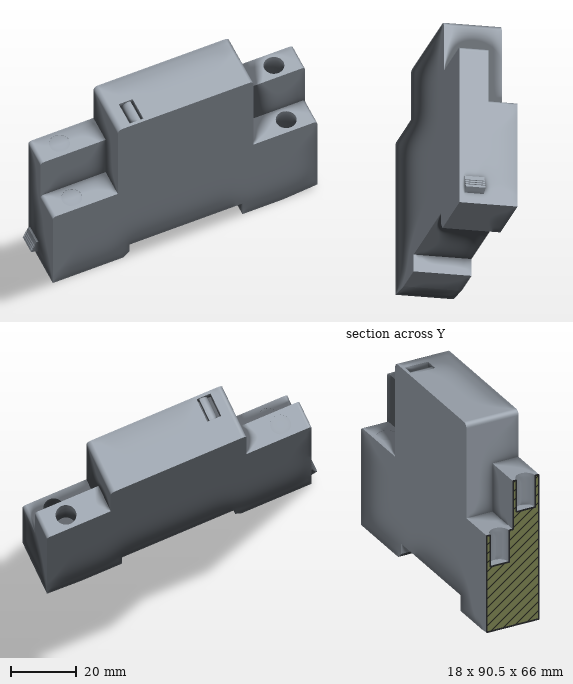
import cadquery as cq

WIDTH = 18.0
LENGTH = 90.5
HEIGHT = 66.0
LATCH_REACH = 2.5
FRONT_Y = LATCH_REACH
REAR_Y = LENGTH
SPLIT_X = WIDTH / 2

TOWER_FRONT = FRONT_Y + 21.6
TOWER_REAR = FRONT_Y + 66.8
HIGH_STEP = 50.1
LOW_STEP = 33.6
TOWER_FILLET = 1.5
STEP_FILLET = 1.1

RAIL_FRONT = FRONT_Y + 25.4
RAIL_REAR = FRONT_Y + 63.1
RAIL_DEPTH = 5.4
RAIL_CHAMFER = 1.9
TAPER_LENGTH = 11.2
TAPER_RISE = 1.3

SCREW_DIAMETER = 6.3
SCREW_OFFSET = 4.5
FRONT_SCREW_Y = FRONT_Y + 8.3
REAR_SCREW_Y = REAR_Y - 8.3
FRONT_SCREW_DEPTH = 0.1
REAR_SCREW_DEPTH = 10.9

WINDOW_START = 9.05
WINDOW_WIDTH = 8.0
WINDOW_FRONT = FRONT_Y + 26.0
WINDOW_LENGTH = 4.6
WINDOW_DEPTH = 2.9
SWITCH_FRONT_GAP = 1.0
SWITCH_LENGTH = 2.8
SWITCH_HEIGHT = 2.35
SWITCH_FILLET = 2.2

LATCH_START = 1.45
LATCH_WIDTH = 6.1
LATCH_TIP_Z = 4.3
LATCH_TILT = 24.0
LATCH_FACE = 4.4
LATCH_BODY = 4.5
GROOVE_COUNT = 3
GROOVE_PITCH = 0.86
GROOVE_WIDTH = 0.4
GROOVE_DEPTH = 0.3
FIRST_GROOVE = 1.0


def box(x, y, z, dx, dy, dz):
    """Box placed by its lowest corner."""
    return cq.Workplane("XY").box(dx, dy, dz, centered=False).translate((x, y, z))


def housing_half(start_x, step_z):
    """One module-wide slice of the housing with its terminal steps at step_z."""
    outline = [
        (FRONT_Y, 0),
        (RAIL_FRONT - RAIL_CHAMFER, 0),
        (RAIL_FRONT, RAIL_CHAMFER),
        (RAIL_FRONT, RAIL_DEPTH),
        (RAIL_REAR, RAIL_DEPTH),
        (RAIL_REAR, 0),
        (REAR_Y - TAPER_LENGTH, 0),
        (REAR_Y, TAPER_RISE),
        (REAR_Y, step_z),
        (TOWER_REAR, step_z),
        (TOWER_REAR, HEIGHT),
        (TOWER_FRONT, HEIGHT),
        (TOWER_FRONT, step_z),
        (FRONT_Y, step_z),
    ]
    half = cq.Workplane("YZ").polyline(outline).close().extrude(SPLIT_X)
    half = half.edges("|X and >Z").fillet(TOWER_FILLET)
    for end_y in (FRONT_Y, REAR_Y):
        corner = cq.selectors.NearestToPointSelector((SPLIT_X / 2, end_y, step_z))
        half = half.edges(corner).fillet(STEP_FILLET)
    return half.translate((start_x, 0, 0))


def screw_recess(x, y, step_z, depth):
    """Cylinder that cuts a screw opening down from a terminal step."""
    return cq.Workplane("XY", origin=(x, y, step_z - depth)).circle(SCREW_DIAMETER / 2).extrude(depth)


def switch():
    """Slider in the window, with its top front edge rounded."""
    slider = box(
        WINDOW_START, WINDOW_FRONT + SWITCH_FRONT_GAP, HEIGHT - WINDOW_DEPTH,
        WINDOW_WIDTH, SWITCH_LENGTH, SWITCH_HEIGHT,
    )
    return slider.edges("|X and >Z and <Y").fillet(SWITCH_FILLET)


def latch():
    """Grooved latch block, tilted about the tip of its grip face."""
    block = box(0, 0, 0, LATCH_WIDTH, LATCH_BODY, LATCH_FACE)
    for i in range(GROOVE_COUNT):
        groove_z = FIRST_GROOVE + i * GROOVE_PITCH - GROOVE_WIDTH / 2
        block = block.cut(box(0, 0, groove_z, LATCH_WIDTH, GROOVE_DEPTH, GROOVE_WIDTH))
    block = block.rotate((0, 0, 0), (1, 0, 0), -LATCH_TILT)
    return block.translate((LATCH_START, 0, LATCH_TIP_Z))


result = housing_half(0, HIGH_STEP).union(housing_half(SPLIT_X, LOW_STEP))

for screw_x, screw_step in ((SPLIT_X - SCREW_OFFSET, HIGH_STEP), (SPLIT_X + SCREW_OFFSET, LOW_STEP)):
    result = result.cut(screw_recess(screw_x, FRONT_SCREW_Y, screw_step, FRONT_SCREW_DEPTH))
    result = result.cut(screw_recess(screw_x, REAR_SCREW_Y, screw_step, REAR_SCREW_DEPTH))

window = box(
    WINDOW_START, WINDOW_FRONT, HEIGHT - WINDOW_DEPTH,
    WINDOW_WIDTH, WINDOW_LENGTH, WINDOW_DEPTH,
)
result = result.cut(window).union(switch()).union(latch())